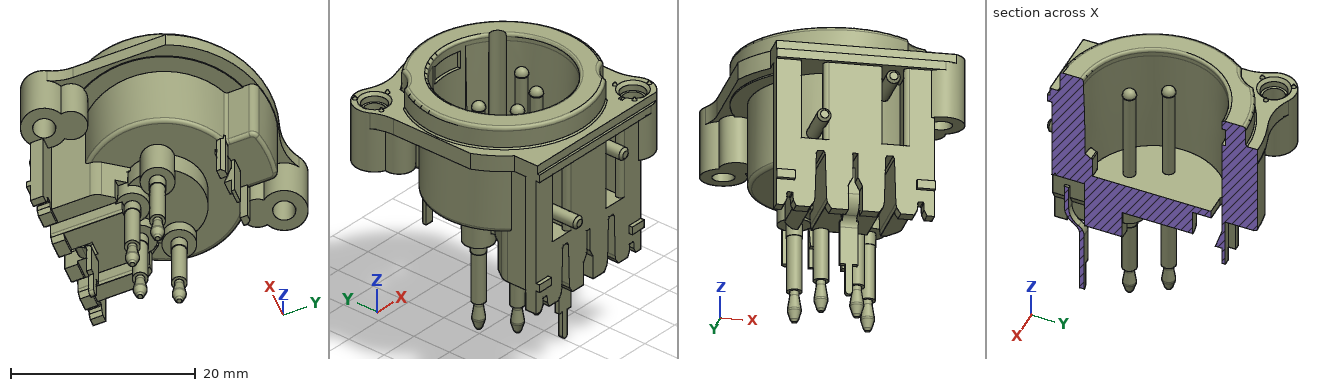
import cadquery as cq
import math


FLANGE_T = 2.0
LIP_T = 0.18
LIP_R = 11.07
FLANGE_R = 12.5
FLANGE_HALF_X = 11.45
EAR_R = 2.58
EAR_POS = FLANGE_R - EAR_R
EAR_BLEND_R = 5.7
EAR_H = 7.5
EAR_RIB_R = 1.82
EAR_RIB_X, EAR_RIB_Y = 9.12, 7.1
TOP_PLATE_T = 1.03
TOP_PLATE_SETBACK = 0.3
SCREW_R = 1.25
SCREW_HEAD_R = 1.52
SCREW_HEAD_DEPTH = 1.1
SCREW_CHAMFER = 0.35
BUMP_R = 0.27
BUMP_H = 0.33
BUMP_CIRCLE_R = 2.15
MARK_LENGTH, MARK_WIDTH, MARK_DEPTH = 0.8, 0.55, 0.75
MARK_X, MARK_Y = 7.87, -10.18

RING_R = 11.07
RING_H = 2.7
RING_EDGE = 0.43
COLLAR_R = 11.25
COLLAR_H = 0.18
NOTCH_R = 3.6
BORE_TOP_R = 8.2
BORE_FLOOR_R = 7.93
MOUTH_EDGE = 0.35
SHELL_R = 9.18
SHELL_BOTTOM = -11.83
SHELL_EDGE = 0.45
FLOOR_Z = -10.82
KEYWAY_R = 0.97
KEYWAY_REACH = 8.95
LATCH_HALF_X = 2.75
LATCH_FRONT_Y = 6.93
LATCH_TOP = 1.82
LATCH_CORNER = 0.4
LATCH_WINDOW_HALF_X = 2.13
LATCH_WINDOW_Z = (-0.8, 1.4)
LATCH_WINDOW_DEPTH = 0.4
BUTTON_W, BUTTON_X = 1.55, -0.5
BUTTON_Y = -7.1
BUTTON_FLAT = 0.18
BUTTON_H = 2.43
BUTTON_RISE = 0.6
BACK_HALF_X = 3.25
BACK_R = 12.43
BACK_EDGE = 0.9
BACK_CORNER_R = 0.45

WALL_HALF_X = 8.75
WALL_Y = -12.0
WALL_T = 1.5
WALL_BOTTOM = -18.97
BLOCK_HALF_X = 6.45
BLOCK_BOTTOM = -18.33
BLOCK_STRAIGHT_Y = -6.0
BLOCK_TAPER = 36
BLOCK_CURVE_R = 2.0
BLOCK_BACK_Y = -3.6
BLOCK_UPPER_BACK_Y = -2.07
WINDOW_X = (2.92, 6.0)
WINDOW_BOTTOM = -11.0
JAMB_R = 0.55
TAB_W, TAB_H, TAB_Z = 2.0, 0.97, -15.5
SLOT_X = 3.83
SLOT_TOP = -12.35
SLOT_END_Y = -1.82
BARB_SLOT_X = 7.25
BARB_SLOT_TOP = -17.42

STUD_R = 0.75
STUD_TIP_Y = -14.0
STUD_TIP_CHAMFER = 0.3
STUDS = ((-SLOT_X, -8.88), (SLOT_X, -3.8))

PINS = ((-4.2, 0.0), (-2.05, -3.68), (2.1, -2.85), (4.1, 0.95))
BALL_R = 0.8
BALL_Z = 0.35
PIN_R = 0.7
SHANK_R = 0.85
COLLAR_PIN_R = 0.9
COLLAR_PIN_END = -17.88
SHANK_END = -24.17
NECK_R, NECK_END = 0.52, -24.7
PIN_BARB_R, PIN_BARB_TOP, PIN_BARB_END = 0.75, -26.25, -26.45
TIP_R, TIP_END = 0.45, -27.42
PIN_END = RING_H - 30.4
TIP_FLAT_R = 0.27
BOSS_R = 1.9
BOSS_BOTTOM = -16.42
CORE_R = 4.75
CORE_BOTTOM = -14.87

GROUND_T = 0.58
GROUND_Y = -8.12
GROUND_OFFSET = 1.82
GROUND_BEND_SPLIT = 0.36
GROUND_TOP, GROUND_BEND_TOP, GROUND_BEND_END = -13.47, -16.48, -19.7
GROUND_SHOULDER, GROUND_END = -23.95, -27.45
GROUND_NECK_HALF_X, GROUND_HALF_X, GROUND_TIP_HALF_X = 0.8, 1.0, 0.4

SPRING_BACK_Y = 8.6
SPRING_END = -17.88
SPRING_TONGUE_HALF_X, SPRING_TONGUE_T = 0.82, 0.4
SPRING_LEG_X = (2.75, 3.83)
SPRING_LEG_T = 0.85
SPRING_LEG_CHAMFER = 0.4
SPRING_BARB_Y = 7.4
SPRING_BARB_Z = (-13.2, -15.72)

EARS = ((-EAR_POS, EAR_POS, (0, 120, 240)), (EAR_POS, -EAR_POS, (-15, 105, 225)))


def box(x0, x1, y0, y1, z0, z1):
    return cq.Workplane("XY").box(x1 - x0, y1 - y0, z1 - z0, centered=False).translate((x0, y0, z0))


def post(x, y, radius, z0, z1):
    return cq.Workplane("XY", origin=(x, y, z0)).circle(radius).extrude(z1 - z0)


def front_prism(points, y0, y1):
    """Outline in X and Z, extruded between two Y positions."""
    return cq.Workplane("XZ", origin=(0, y1, 0)).polyline(points).close().extrude(y1 - y0)


def side_prism(points, half_x, x=0):
    """Outline in Y and Z, extruded evenly about an X position."""
    return cq.Workplane("YZ", origin=(x, 0, 0)).polyline(points).close().extrude(half_x, both=True)


def toward(start, target, distance):
    length = math.dist(start, target)
    return tuple(s + (t - s) * distance / length for s, t in zip(start, target))


def on_arc(center, radius, start, end):
    """Middle point of the short arc between two points."""
    middle = ((start[0] + end[0]) / 2, (start[1] + end[1]) / 2)
    return toward(center, middle, radius)


def opposite(point):
    return (-point[0], -point[1])


def flange_outline():
    axis = (0, 0)
    ear = (-EAR_POS, EAR_POS)
    ear_distance = math.dist(axis, ear)
    to_axis, to_ear = FLANGE_R + EAR_BLEND_R, EAR_R + EAR_BLEND_R
    spread = math.acos((to_axis**2 + ear_distance**2 - to_ear**2) / (2 * to_axis * ear_distance))
    angle = math.radians(135) - spread
    top_blend = (to_axis * math.cos(angle), to_axis * math.sin(angle))
    top_start = toward(axis, top_blend, FLANGE_R)
    top_end = toward(ear, top_blend, EAR_R)
    side_blend_x = -FLANGE_HALF_X - EAR_BLEND_R
    side_blend = (side_blend_x, EAR_POS - math.sqrt(to_ear**2 - (ear[0] - side_blend_x)**2))
    side_start = toward(ear, side_blend, EAR_R)
    side_end = (-FLANGE_HALF_X, side_blend[1])
    side_mid = on_arc(side_blend, EAR_BLEND_R, side_start, side_end)

    side_corner = (FLANGE_HALF_X, math.sqrt(FLANGE_R**2 - FLANGE_HALF_X**2))
    front_corner = (-WALL_HALF_X, -math.sqrt(FLANGE_R**2 - WALL_HALF_X**2))
    ear_tip = toward(axis, ear, ear_distance + EAR_R)
    return (
        cq.Workplane("XY").moveTo(-WALL_HALF_X, -FLANGE_R).lineTo(EAR_POS, -FLANGE_R)
        .threePointArc(opposite(ear_tip), opposite(side_start))
        .threePointArc(opposite(side_mid), opposite(side_end))
        .lineTo(*side_corner)
        .threePointArc(on_arc(axis, FLANGE_R, side_corner, top_start), top_start)
        .threePointArc(on_arc(top_blend, EAR_BLEND_R, top_start, top_end), top_end)
        .threePointArc(ear_tip, side_start)
        .threePointArc(side_mid, side_end)
        .lineTo(*opposite(side_corner))
        .threePointArc(on_arc(axis, FLANGE_R, opposite(side_corner), front_corner), front_corner)
        .close()
    )


def make_flange():
    setback = box(-FLANGE_R, FLANGE_R, -FLANGE_R, TOP_PLATE_SETBACK - FLANGE_R, -TOP_PLATE_T, 0)
    flange = flange_outline().extrude(-FLANGE_T).cut(setback)
    flange = flange.union(post(0, 0, LIP_R, -FLANGE_T - LIP_T, -FLANGE_T))
    for x, y, _ in EARS:
        side = math.copysign(1, x)
        rib = post(side * EAR_RIB_X, -side * EAR_RIB_Y, EAR_RIB_R, -EAR_H, -FLANGE_T)
        flange = flange.union(post(x, y, EAR_R, -EAR_H, -FLANGE_T).union(rib))
    return flange


def make_ring():
    ring = post(0, 0, RING_R, 0, RING_H)
    ring = ring.union(cq.Workplane("XY").circle(COLLAR_R).workplane(offset=COLLAR_H).circle(RING_R).loft())
    for x, y, _ in EARS:
        ring = ring.cut(post(x, y, NOTCH_R, 0, RING_H))
    return ring.faces(">Z").edges().fillet(RING_EDGE)


def make_shell():
    """Round cup body with a block behind it, rounded together along the bottom."""
    block = box(-BACK_HALF_X, BACK_HALF_X, 0, FLANGE_R, SHELL_BOTTOM, -FLANGE_T)
    block = block.intersect(post(0, 0, BACK_R, SHELL_BOTTOM, -FLANGE_T))
    block = block.edges("|Z").edges(">Y").fillet(BACK_EDGE)
    shell = post(0, 0, SHELL_R, SHELL_BOTTOM, -FLANGE_T).union(block)
    corner_y = math.sqrt(SHELL_R**2 - BACK_HALF_X**2)
    reach = BACK_CORNER_R / 2
    corners = cq.selectors.BoxSelector((-BACK_HALF_X - reach, corner_y - reach, SHELL_BOTTOM),
                                       (BACK_HALF_X + reach, corner_y + reach, 0))
    shell = shell.edges("|Z").edges(corners).fillet(BACK_CORNER_R)
    return shell.faces("<Z").edges().fillet(SHELL_EDGE)


def tapered_block(back_y, bottom):
    """Block behind the front wall: straight sides that curve into a taper toward the back."""
    def curve_point(degrees):
        angle = math.radians(degrees)
        return (BLOCK_HALF_X - BLOCK_CURVE_R * (1 - math.cos(angle)),
                BLOCK_STRAIGHT_Y + BLOCK_CURVE_R * math.sin(angle))

    middle = curve_point(BLOCK_TAPER / 2)
    curve_end = curve_point(BLOCK_TAPER)
    back_x = curve_end[0] - (back_y - curve_end[1]) * math.tan(math.radians(BLOCK_TAPER))
    half = (
        cq.Workplane("XY", origin=(0, 0, bottom))
        .moveTo(0, WALL_Y + WALL_T).lineTo(BLOCK_HALF_X, WALL_Y + WALL_T)
        .lineTo(BLOCK_HALF_X, BLOCK_STRAIGHT_Y).threePointArc(middle, curve_end)
        .lineTo(back_x, back_y).lineTo(0, back_y).close().extrude(-FLANGE_T - bottom)
    )
    return half.union(half.mirror("YZ"))


def make_terminal_block():
    block = tapered_block(BLOCK_BACK_Y, BLOCK_BOTTOM).union(tapered_block(BLOCK_UPPER_BACK_Y, CORE_BOTTOM))
    return block.union(box(-WALL_HALF_X, WALL_HALF_X, WALL_Y, WALL_Y + WALL_T, WALL_BOTTOM, -FLANGE_T))


def make_windows():
    inner, outer = WINDOW_X
    windows = cq.Workplane("XY")
    for left, right in ((-outer, -inner), (inner, outer)):
        window = box(left, right, WALL_Y, -SHELL_R / 2, WINDOW_BOTTOM, -FLANGE_T)
        window = window.cut(post(right, WALL_Y + JAMB_R, JAMB_R, WINDOW_BOTTOM, -FLANGE_T))
        windows = windows.add(window)
    return windows.combine().cut(post(0, 0, SHELL_R, WINDOW_BOTTOM, 0))


def mirrored_slot(x, half_widths, y_end):
    """Slot outline symmetric about x, from (half width, Z) pairs listed from top to bottom."""
    right = [(x + half, z) for half, z in half_widths]
    left = [(x - half, z) for half, z in reversed(half_widths)]
    return front_prism(right + left, WALL_Y, y_end)


def make_slots():
    pin_profile = ((0.33, SLOT_TOP), (0.5, SLOT_TOP - 0.3), (0.65, -17.78), (0.73, -18.3), (1.2, WALL_BOTTOM))
    barb_profile = ((0.25, BARB_SLOT_TOP), (0.33, BARB_SLOT_TOP - 0.12), (0.35, -18.33), (0.67, WALL_BOTTOM))
    ground_profile = (
        (0.27, SLOT_TOP), (0.27, -15.15), (GROUND_NECK_HALF_X, -16.1), (GROUND_NECK_HALF_X, WALL_BOTTOM),
    )
    slots = mirrored_slot(0, ground_profile, GROUND_Y)
    for side in (-1, 1):
        slots = slots.union(mirrored_slot(side * SLOT_X, pin_profile, SLOT_END_Y))
        slots = slots.union(mirrored_slot(side * BARB_SLOT_X, barb_profile, WALL_Y + WALL_T))
    return slots


def make_tabs():
    tab = box(WALL_HALF_X - TAB_W, WALL_HALF_X, -FLANGE_R, WALL_Y, TAB_Z - TAB_H / 2, TAB_Z + TAB_H / 2)
    return tab.union(tab.mirror("YZ"))


def make_bore():
    bore = (
        cq.Workplane("XZ")
        .moveTo(0, FLOOR_Z).lineTo(BORE_FLOOR_R, FLOOR_Z).lineTo(BORE_TOP_R, LATCH_TOP)
        .lineTo(BORE_TOP_R, RING_H - MOUTH_EDGE)
        .radiusArc((BORE_TOP_R + MOUTH_EDGE, RING_H), MOUTH_EDGE)
        .lineTo(0, RING_H).close().revolve(360, (0, 0), (0, 1))
    )
    key = (KEYWAY_REACH - KEYWAY_R) * math.sqrt(0.5)
    return bore.union(post(key, key, KEYWAY_R, FLOOR_Z, RING_H))


def make_latch_opening():
    channel = box(-LATCH_HALF_X, LATCH_HALF_X, LATCH_FRONT_Y, BORE_TOP_R, SHELL_BOTTOM, LATCH_TOP)
    channel = channel.edges("|Z and <Y").chamfer(LATCH_CORNER / 2, LATCH_CORNER)
    channel = channel.intersect(post(0, 0, BORE_TOP_R, SHELL_BOTTOM, LATCH_TOP))
    window_r = BORE_TOP_R + LATCH_WINDOW_DEPTH
    low, high = LATCH_WINDOW_Z
    window = box(-LATCH_WINDOW_HALF_X, LATCH_WINDOW_HALF_X, LATCH_FRONT_Y, window_r, low, high)
    return channel.union(window.intersect(post(0, 0, window_r, low, high)))


def make_button():
    top = FLOOR_Z + BUTTON_H
    outline = (
        (BUTTON_Y, FLOOR_Z), (BUTTON_Y, top), (BUTTON_Y - BUTTON_FLAT, top),
        (-BORE_TOP_R, top + BUTTON_RISE), (-BORE_TOP_R, FLOOR_Z),
    )
    return side_prism(outline, BUTTON_W / 2, BUTTON_X)


def make_screw_hole(x, y):
    hole = post(x, y, SCREW_R, -EAR_H, 0)
    head = cq.Workplane("XY", origin=(x, y, 0)).circle(SCREW_HEAD_R).extrude(-SCREW_HEAD_DEPTH)
    rim = cq.Workplane("XY", origin=(x, y, 0)).circle(SCREW_HEAD_R + SCREW_CHAMFER)
    rim = rim.workplane(offset=-SCREW_CHAMFER).circle(SCREW_HEAD_R).loft()
    return hole.union(head).union(rim)


def make_bump(x, y):
    return cq.Workplane(cq.Solid.makeCone(BUMP_R, BUMP_R / 4, BUMP_H, cq.Vector(x, y, 0)))


def make_stud(x, z):
    length = -STUD_TIP_Y - BORE_TOP_R
    stud = cq.Workplane("XZ", origin=(x, -BORE_TOP_R, z)).circle(STUD_R).extrude(length)
    return stud.faces("<Y").chamfer(STUD_TIP_CHAMFER)


def make_pin(x, y):
    profile = (
        cq.Workplane("XZ").moveTo(0, BALL_Z + BALL_R)
        .threePointArc((BALL_R * math.sqrt(0.5), BALL_Z + BALL_R * math.sqrt(0.5)), (BALL_R, BALL_Z))
        .lineTo(PIN_R, BALL_Z - 0.18).lineTo(PIN_R, SHELL_BOTTOM)
        .lineTo(COLLAR_PIN_R, SHELL_BOTTOM).lineTo(COLLAR_PIN_R, COLLAR_PIN_END)
        .lineTo(SHANK_R, COLLAR_PIN_END).lineTo(SHANK_R, SHANK_END)
        .lineTo(NECK_R, SHANK_END).lineTo(NECK_R, NECK_END)
        .lineTo(PIN_BARB_R, PIN_BARB_TOP).lineTo(PIN_BARB_R, PIN_BARB_END)
        .lineTo(TIP_R, TIP_END).lineTo(TIP_FLAT_R, PIN_END).lineTo(0, PIN_END).close()
    )
    return profile.revolve(360, (0, 0), (0, 1)).translate((x, y, 0))


def make_ground_contact():
    mid_y = GROUND_Y - GROUND_BEND_SPLIT * GROUND_OFFSET
    mid_z = GROUND_BEND_END + GROUND_BEND_SPLIT * (GROUND_BEND_TOP - GROUND_BEND_END)
    root_y = GROUND_Y - GROUND_OFFSET
    path = (
        cq.Workplane("YZ").moveTo(GROUND_Y, GROUND_END).lineTo(GROUND_Y, GROUND_BEND_END)
        .tangentArcPoint((mid_y, mid_z), relative=False)
        .tangentArcPoint((root_y, GROUND_BEND_TOP), relative=False)
        .lineTo(root_y, GROUND_TOP).lineTo(root_y - GROUND_T, GROUND_TOP)
        .lineTo(root_y - GROUND_T, GROUND_BEND_TOP)
    )
    strip = (
        path.tangentArcPoint((mid_y - GROUND_T, mid_z), relative=False)
        .tangentArcPoint((GROUND_Y - GROUND_T, GROUND_BEND_END), relative=False)
        .lineTo(GROUND_Y - GROUND_T, GROUND_END).close().extrude(GROUND_HALF_X, both=True)
    )
    tip_start = GROUND_END + GROUND_TIP_HALF_X
    front = (
        cq.Workplane("XZ", origin=(0, GROUND_Y, 0))
        .moveTo(-GROUND_NECK_HALF_X, GROUND_TOP).lineTo(GROUND_NECK_HALF_X, GROUND_TOP)
        .lineTo(GROUND_NECK_HALF_X, WALL_BOTTOM).lineTo(GROUND_HALF_X, WALL_BOTTOM)
        .lineTo(GROUND_HALF_X, GROUND_SHOULDER).lineTo(GROUND_TIP_HALF_X, GROUND_SHOULDER)
        .lineTo(GROUND_TIP_HALF_X, tip_start)
        .threePointArc((0, GROUND_END), (-GROUND_TIP_HALF_X, tip_start))
        .lineTo(-GROUND_TIP_HALF_X, GROUND_SHOULDER).lineTo(-GROUND_HALF_X, GROUND_SHOULDER)
        .lineTo(-GROUND_HALF_X, WALL_BOTTOM).lineTo(-GROUND_NECK_HALF_X, WALL_BOTTOM)
        .close().extrude(GROUND_OFFSET + GROUND_T)
    )
    return strip.intersect(front)


def make_latch_spring():
    tongue_y = SPRING_BACK_Y - SPRING_TONGUE_T
    half = SPRING_TONGUE_HALF_X
    spring = box(-half, half, tongue_y, SPRING_BACK_Y, SPRING_END, FLOOR_Z)
    barb_top, barb_bottom = SPRING_BARB_Z
    spring = spring.union(side_prism(
        ((tongue_y, barb_top), (SPRING_BARB_Y, barb_bottom), (tongue_y, barb_bottom)), half))
    inner, outer = SPRING_LEG_X
    leg = box(inner, outer, SPRING_BACK_Y - SPRING_LEG_T, SPRING_BACK_Y, SPRING_END, FLOOR_Z)
    leg = leg.edges("|Z and >X and >Y").chamfer(SPRING_LEG_CHAMFER)
    return spring.union(leg).union(leg.mirror("YZ"))


def make_mark():
    """Small sloping pocket beside the front screw."""
    left, right = MARK_X - MARK_LENGTH / 2, MARK_X + MARK_LENGTH / 2
    return front_prism(((left, 0), (right, 0), (left, -MARK_DEPTH)),
                       MARK_Y - MARK_WIDTH / 2, MARK_Y + MARK_WIDTH / 2)


core = post(0, 0, CORE_R, CORE_BOTTOM, SHELL_BOTTOM)
for pin_x, pin_y in PINS:
    core = core.union(post(pin_x, pin_y, BOSS_R, BOSS_BOTTOM, SHELL_BOTTOM))

housing = make_flange().union(make_shell()).union(make_terminal_block().cut(make_slots()))
housing = housing.union(core).union(make_tabs()).union(make_ring())
housing = housing.cut(make_windows()).cut(make_bore()).cut(make_latch_opening()).cut(make_mark())
for ear_x, ear_y, bump_angles in EARS:
    housing = housing.cut(make_screw_hole(ear_x, ear_y))
    for bump_angle in bump_angles:
        bump_x = ear_x + BUMP_CIRCLE_R * math.cos(math.radians(bump_angle))
        bump_y = ear_y + BUMP_CIRCLE_R * math.sin(math.radians(bump_angle))
        housing = housing.union(make_bump(bump_x, bump_y))

result = housing.union(make_button()).union(make_ground_contact()).union(make_latch_spring())
for stud_x, stud_z in STUDS:
    result = result.union(make_stud(stud_x, stud_z))
for pin_x, pin_y in PINS:
    result = result.union(make_pin(pin_x, pin_y))